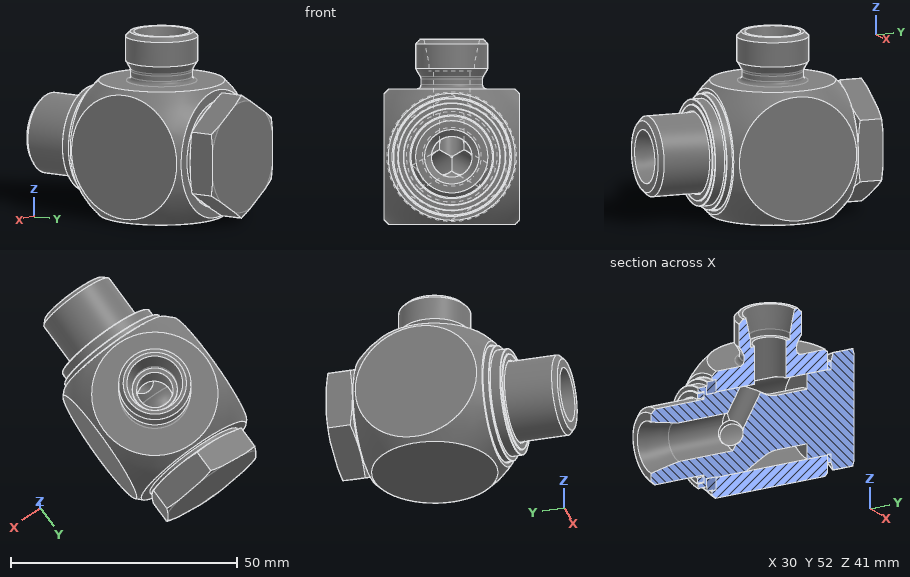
import cadquery as cq
import math


cube_half = 15.0
front_face_y = -14.9
rear_face_y = 14.65
flat_radius = 13.96
sphere_radius = math.hypot(cube_half, flat_radius)

nipple_top = 26.0
nipple_radius = 8.0
nipple_chamfer = 1.015
nipple_head_length = 6.5
neck_radius = 6.84
neck_fillet = 1.0
undercut_slope = math.radians(30)
undercut_length = (nipple_radius - neck_radius) / math.tan(undercut_slope)
nipple_bore_radius = 4.0
socket_radius = 5.0
socket_rim_radius = 6.16
tube_cone_slope = math.radians(12)
socket_depth = 7.0

shank_radius = 10.01
waist_radius = 6.5
waist_front_y = 1.55
waist_rear_y = 9.35
waist_fillet = 5.65
waist_slope = math.radians(30)
flange_radius = 11.9
flange_rear_y = -16.2
flange_front_y = -18.5
stud_radius = 9.0
stud_tip_y = -30.5
stud_chamfer = 1.015
hex_across_flats = 24.0
hex_front_y = 15.5
hex_rear_y = 21.5
hex_rear_chamfer_radius = 12.5
hex_chamfer_slope = math.radians(15)
bolt_bore_radius = 4.5
bolt_bore_rim_radius = 6.005
bolt_bore_tip_y = -6.9
drill_tip_slope = math.radians(31)
cross_hole_radius = 2.75
cross_hole_y = -10.3
cross_hole_count = 3

front_ring_radius = 12.95
front_recess_depth = 1.0
recess_chamfer = 0.25
rim_chamfer = 0.1
rear_ring_radius = 11.95
seal_outer_radius = 10.6
seal_inner_radius = 9.25
seal_front_y = -18.7
seal_groove_radius = 10.74
seal_groove_depth = 1.5

recess_floor_y = front_face_y + front_recess_depth
seal_groove_floor_y = flange_front_y + seal_groove_depth


def turned_about_y(points):
    """Solid of revolution about Y from (radius, y) points."""
    return cq.Workplane("XY").polyline(points).close().revolve(360, (0, 0, 0), (0, 1, 0))


def ring_along_y(outer_radius, inner_radius, start_y, end_y):
    """Flat ring on the Y axis."""
    return turned_about_y(
        [(inner_radius, start_y), (outer_radius, start_y), (outer_radius, end_y), (inner_radius, end_y)]
    )


def make_nipple():
    """Solid nipple with chamfered rim, undercut and a flared foot on the housing."""
    undercut_top = nipple_top - nipple_head_length
    undercut_bottom = undercut_top - undercut_length
    blend = neck_fillet * math.tan(undercut_slope / 2)
    blend_cone_radius = neck_radius + blend * math.sin(undercut_slope)
    blend_cone_z = undercut_bottom + blend * math.cos(undercut_slope)
    blend_centre = (neck_radius + neck_fillet, undercut_bottom - blend)
    half_slope = undercut_slope / 2
    blend_middle = (
        blend_centre[0] - neck_fillet * math.cos(half_slope),
        blend_centre[1] + neck_fillet * math.sin(half_slope),
    )
    foot_centre = (neck_radius + neck_fillet, cube_half + neck_fillet)
    foot_middle = (
        foot_centre[0] - neck_fillet * math.cos(math.pi / 4),
        foot_centre[1] - neck_fillet * math.sin(math.pi / 4),
    )
    return (
        cq.Workplane("XZ")
        .moveTo(0, 0)
        .lineTo(0, nipple_top)
        .lineTo(nipple_radius - nipple_chamfer, nipple_top)
        .lineTo(nipple_radius, nipple_top - nipple_chamfer)
        .lineTo(nipple_radius, undercut_top)
        .lineTo(blend_cone_radius, blend_cone_z)
        .threePointArc(blend_middle, (neck_radius, undercut_bottom - blend))
        .lineTo(neck_radius, foot_centre[1])
        .threePointArc(foot_middle, (foot_centre[0], cube_half))
        .lineTo(foot_centre[0], 0)
        .close()
        .revolve(360, (0, 0, 0), (0, 1, 0))
    )


def make_nipple_bore():
    """Through bore of the nipple with the tube socket and its sealing cone."""
    cone_depth = (socket_rim_radius - socket_radius) / math.tan(tube_cone_slope)
    return (
        cq.Workplane("XZ")
        .moveTo(0, 0)
        .lineTo(nipple_bore_radius, 0)
        .lineTo(nipple_bore_radius, nipple_top - socket_depth)
        .lineTo(socket_radius, nipple_top - socket_depth)
        .lineTo(socket_radius, nipple_top - cone_depth)
        .lineTo(socket_rim_radius, nipple_top)
        .lineTo(0, nipple_top)
        .close()
        .revolve(360, (0, 0, 0), (0, 1, 0))
    )


def make_housing():
    """Rounded cube with the nipple, the bolt bore and the front ring's chamfered recess."""
    cube = (
        cq.Workplane("XZ", origin=(0, rear_face_y, 0))
        .rect(2 * cube_half, 2 * cube_half)
        .extrude(rear_face_y - front_face_y)
    )
    body = cube.intersect(cq.Workplane("XY").sphere(sphere_radius))
    body = body.union(make_nipple()).cut(make_nipple_bore())
    bolt_bore = turned_about_y(
        [
            (0, front_face_y),
            (front_ring_radius + recess_chamfer, front_face_y),
            (front_ring_radius, front_face_y + recess_chamfer),
            (front_ring_radius, recess_floor_y),
            (shank_radius, recess_floor_y),
            (shank_radius, rear_face_y),
            (0, rear_face_y),
        ]
    )
    return body.cut(bolt_bore)


def make_hex_head():
    """Hexagon with corners at +Z and -Z, chamfered on both ends."""
    corner_radius = hex_across_flats / 2 / math.cos(math.pi / 6)
    flat_distance = hex_across_flats / 2
    front_drop = (corner_radius - flat_distance) * math.tan(hex_chamfer_slope)
    rear_drop = (corner_radius - hex_rear_chamfer_radius) * math.tan(hex_chamfer_slope)
    head = (
        cq.Workplane("XZ", origin=(0, hex_front_y, 0))
        .polygon(6, 2 * corner_radius)
        .extrude(hex_front_y - hex_rear_y)
        .rotate((0, 0, 0), (0, 1, 0), 30)
    )
    chamfer_envelope = turned_about_y(
        [
            (0, hex_front_y),
            (flat_distance, hex_front_y),
            (corner_radius, hex_front_y + front_drop),
            (corner_radius, hex_rear_y - rear_drop),
            (hex_rear_chamfer_radius, hex_rear_y),
            (0, hex_rear_y),
        ]
    )
    return head.intersect(chamfer_envelope)


def make_bolt_shaft():
    """Turned part of the bolt: stud, flange with seal groove, shank with its waist."""
    bend_radius = waist_radius + waist_fillet * (1 - math.cos(waist_slope))
    bend_y = waist_front_y - waist_fillet * math.sin(waist_slope)
    bend_middle = (
        waist_radius + waist_fillet * (1 - math.cos(waist_slope / 2)),
        waist_front_y - waist_fillet * math.sin(waist_slope / 2),
    )
    cone_front_y = bend_y - (shank_radius - bend_radius) / math.tan(waist_slope)
    return (
        cq.Workplane("XY")
        .moveTo(0, stud_tip_y)
        .lineTo(stud_radius - stud_chamfer, stud_tip_y)
        .lineTo(stud_radius, stud_tip_y + stud_chamfer)
        .lineTo(stud_radius, seal_groove_floor_y)
        .lineTo(seal_groove_radius, seal_groove_floor_y)
        .lineTo(seal_groove_radius, flange_front_y)
        .lineTo(flange_radius - rim_chamfer, flange_front_y)
        .lineTo(flange_radius, flange_front_y + rim_chamfer)
        .lineTo(flange_radius, flange_rear_y)
        .lineTo(shank_radius, flange_rear_y)
        .lineTo(shank_radius, cone_front_y)
        .lineTo(bend_radius, bend_y)
        .threePointArc(bend_middle, (waist_radius, waist_front_y))
        .lineTo(waist_radius, waist_rear_y)
        .lineTo(shank_radius, waist_rear_y)
        .lineTo(shank_radius, hex_front_y)
        .lineTo(0, hex_front_y)
        .close()
        .revolve(360, (0, 0, 0), (0, 1, 0))
    )


def make_bolt_bore():
    """Blind bore from the stud tip with a tube cone at its mouth and a drill tip."""
    cone_depth = (bolt_bore_rim_radius - bolt_bore_radius) / math.tan(tube_cone_slope)
    return turned_about_y(
        [
            (0, stud_tip_y),
            (bolt_bore_rim_radius, stud_tip_y),
            (bolt_bore_radius, stud_tip_y + cone_depth),
            (bolt_bore_radius, bolt_bore_tip_y - bolt_bore_radius * math.tan(drill_tip_slope)),
            (0, bolt_bore_tip_y),
        ]
    )


def make_bolt():
    """Hollow bolt with cross holes square to the waist's cone, the first one pointing to +Z."""
    bolt = make_bolt_shaft().union(make_hex_head()).cut(make_bolt_bore())
    axis_direction = (0, math.sin(waist_slope), math.cos(waist_slope))
    hole_plane = cq.Plane(origin=(0, cross_hole_y, 0), xDir=(1, 0, 0), normal=axis_direction)
    hole = cq.Workplane(hole_plane).circle(cross_hole_radius).extrude(cube_half)
    for index in range(cross_hole_count):
        angle = 360 / cross_hole_count * index
        bolt = bolt.cut(hole.rotate((0, 0, 0), (0, 1, 0), angle))
    return bolt


def make_front_ring():
    """Ring between the flange and the recess floor, its exposed rim chamfered."""
    return turned_about_y(
        [
            (shank_radius, flange_rear_y),
            (front_ring_radius - rim_chamfer, flange_rear_y),
            (front_ring_radius, flange_rear_y + rim_chamfer),
            (front_ring_radius, recess_floor_y),
            (shank_radius, recess_floor_y),
        ]
    )


housing = make_housing()
bolt = make_bolt()
front_ring = make_front_ring()
rear_ring = ring_along_y(rear_ring_radius, shank_radius, rear_face_y, hex_front_y)
seal = ring_along_y(seal_outer_radius, seal_inner_radius, seal_front_y, seal_groove_floor_y)

result = cq.Compound.makeCompound(
    [housing.val(), bolt.val(), front_ring.val(), rear_ring.val(), seal.val()]
)